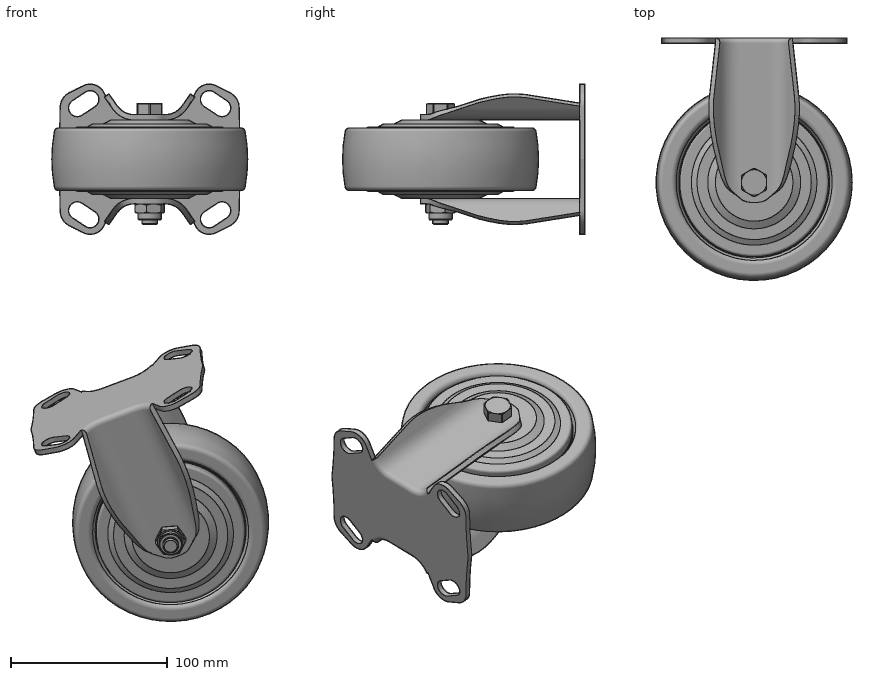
import cadquery as cq
import math


wheel_radius = 62.5
wheel_width = 40.0
tread_edge_radius = 60.9
tread_half_width = 17.4
shoulder_radius = 57.7
side_face_inner_radius = 52.8
recess_radius = 49.7
recess_floor_radius = 48.1
recess_floor = 14.0

guard_radius = 47.4
guard_edge_fillet = 1.6
guard_rim_height = 20.5
guard_step_height = 22.5
guard_top_height = 25.0
guard_lower_cone = (40.0, 36.4)
guard_upper_cone = (29.6, 24.7)

sheet = 3.5
plate_back = 92.0
plate_front = plate_back - sheet
plate_half_width = 59.0
slot_centre = (42.0, 35.4)
slot_spacing = 9.8
slot_diameter = 11.0
slot_tilt = -33.5
ear_inner_radius = 9.8
ear_outer_radius = 11.0
leg_flat_half_width = 10.0
leg_bend_radius = 13.0
flare_angle = math.radians(55)
leg_bend_length = leg_bend_radius * flare_angle
flare_length = 16.0
root_radius = 3.4
leg_inner_face = guard_top_height
leg_outer_face = leg_inner_face + sheet

bolt_diameter = 10.0
head_flats = 16.0
head_turn = 30
head_height = 6.9
head_corner_radius = 9.0
head_face_radius = 8.1
head_bevel_height = 0.3
bolt_end = -41.7
bolt_end_chamfer = 0.9
nut_flats = 17.0
nut_height = 5.9
nut_turn = 17.6
nut_corner_radius = nut_flats / 2 / math.cos(math.pi / 6)
nut_face_radius = 8.5
nut_bevel_height = (nut_corner_radius - nut_face_radius) * math.tan(math.radians(30))
collar_diameter = 15.0
collar_height = 4.2
collar_chamfer = 0.6

DIAGONAL = math.sqrt(0.5)


def cut_bore(body):
    bore = cq.Workplane("XY").circle(bolt_diameter / 2).extrude(2 * plate_back, both=True)
    return body.cut(bore)


def make_wheel():
    half_width = wheel_width / 2
    lip_radius = side_face_inner_radius - recess_radius
    lip_centre = (side_face_inner_radius, half_width - lip_radius)
    lip_middle = (lip_centre[0] - lip_radius * DIAGONAL, lip_centre[1] + lip_radius * DIAGONAL)
    shoulder_middle = (
        shoulder_radius + (tread_edge_radius - shoulder_radius) * DIAGONAL,
        tread_half_width + (half_width - tread_half_width) * DIAGONAL,
    )
    profile = (
        cq.Workplane("XZ")
        .moveTo(0, -recess_floor)
        .lineTo(recess_floor_radius, -recess_floor)
        .lineTo(recess_radius, -lip_centre[1])
        .threePointArc((lip_middle[0], -lip_middle[1]), (side_face_inner_radius, -half_width))
        .lineTo(shoulder_radius, -half_width)
        .threePointArc((shoulder_middle[0], -shoulder_middle[1]), (tread_edge_radius, -tread_half_width))
        .threePointArc((wheel_radius, 0), (tread_edge_radius, tread_half_width))
        .threePointArc(shoulder_middle, (shoulder_radius, half_width))
        .lineTo(side_face_inner_radius, half_width)
        .threePointArc(lip_middle, (recess_radius, lip_centre[1]))
        .lineTo(recess_floor_radius, recess_floor)
        .lineTo(0, recess_floor)
        .close()
    )
    return cut_bore(profile.revolve(360, (0, 0, 0), (0, 1, 0)))


def make_guard(side):
    """Stepped disc in a wheel recess: side is 1 for the upper one, -1 for the lower one."""
    guard = (
        cq.Workplane("XZ")
        .moveTo(0, recess_floor)
        .lineTo(guard_radius, recess_floor)
        .lineTo(guard_radius, guard_rim_height - guard_edge_fillet)
        .radiusArc((guard_radius - guard_edge_fillet, guard_rim_height), -guard_edge_fillet)
        .lineTo(guard_lower_cone[0], guard_rim_height)
        .lineTo(guard_lower_cone[1], guard_step_height)
        .lineTo(guard_upper_cone[0], guard_step_height)
        .lineTo(guard_upper_cone[1], guard_top_height)
        .lineTo(0, guard_top_height)
        .close()
        .revolve(360, (0, 0, 0), (0, 1, 0))
    )
    if side < 0:
        guard = guard.mirror("XY")
    return cut_bore(guard)


def on_leg(s, y, depth):
    """Point on the upper leg: s runs along the concave face from the middle, depth goes into the sheet."""
    angle = min(max(s - leg_flat_half_width, 0) / leg_bend_radius, flare_angle)
    flat_part = min(s, leg_flat_half_width)
    flare_part = max(s - leg_flat_half_width - leg_bend_length, 0)
    radius = leg_bend_radius + depth
    x = flat_part + radius * math.sin(angle) + flare_part * math.cos(flare_angle)
    z = leg_outer_face + leg_bend_radius - radius * math.cos(angle) + flare_part * math.sin(flare_angle)
    return cq.Vector(x, y, z)


def leg_section(reach):
    """Closed section of the upper leg whose flares end at distance reach from the middle."""
    bend_end = leg_flat_half_width + leg_bend_length
    bend_middle = (leg_flat_half_width + bend_end) / 2

    def at(s, depth, side):
        point = on_leg(s, 0, depth)
        return (side * point.x, point.z)

    return (
        cq.Workplane("XZ")
        .moveTo(*at(leg_flat_half_width, 0, -1))
        .lineTo(*at(leg_flat_half_width, 0, 1))
        .threePointArc(at(bend_middle, 0, 1), at(bend_end, 0, 1))
        .lineTo(*at(reach, 0, 1))
        .lineTo(*at(reach, sheet, 1))
        .lineTo(*at(bend_end, sheet, 1))
        .threePointArc(at(bend_middle, sheet, 1), at(leg_flat_half_width, sheet, 1))
        .lineTo(*at(leg_flat_half_width, sheet, -1))
        .threePointArc(at(bend_middle, sheet, -1), at(bend_end, sheet, -1))
        .lineTo(*at(reach, sheet, -1))
        .lineTo(*at(reach, 0, -1))
        .lineTo(*at(bend_end, 0, -1))
        .threePointArc(at(bend_middle, 0, -1), at(leg_flat_half_width, 0, -1))
        .close()
    )


leg_root = (24.0, plate_back)
leg_side_start = (31.3, 54.2)
leg_side_middle = (31.8, 46.6)
leg_side_end = (30.9, 37.8)
leg_nose = [(26.9, 22.9), (22.2, 11.3), (19.1, 2.5), (15.9, -3.6), (10.0, -9.2), (0.0, -12.8)]
trim_overrun = 0.5
trim_lead_out = 0.1


def trim_edges(depth):
    """Trim line from the root round to the middle of the nose, at a depth in the sheet."""
    def at(point):
        return on_leg(*point, depth)

    root = at(leg_root)
    start = at(leg_side_start)
    beyond_root = root + (root - start) * trim_lead_out
    nose = [at(leg_side_end)] + [at(point) for point in leg_nose]
    side_arc = cq.Edge.makeThreePointArc(start, at(leg_side_middle), nose[0])
    nose_curve = cq.Edge.makeSpline(nose, tangents=[side_arc.tangentAt(1), cq.Vector(-1, 0, 0)])
    return [cq.Edge.makeLine(beyond_root, start), side_arc, nose_curve]


def make_leg():
    """Upper leg, trimmed square to its sheet along the trim line."""
    blank_reach = leg_flat_half_width + leg_bend_length + flare_length
    blank = leg_section(blank_reach).extrude(plate_back, both=True)
    seed = cq.selectors.NearestToPointSelector(on_leg(0, plate_back, 0).toTuple())
    blank = blank.faces(">Y").edges(seed).fillet(root_radius)
    outer_edges = trim_edges(-trim_overrun)
    inner_edges = trim_edges(sheet + trim_overrun)
    faces = [cq.Face.makeRuledSurface(a, b) for a, b in zip(outer_edges, inner_edges)]
    faces += [face.mirror("YZ") for face in faces]
    pieces = blank.val().split(cq.Shell.makeShell(faces))
    inside = cq.Vector(0, plate_back / 2, leg_inner_face + sheet / 2)
    return cq.Workplane([piece for piece in pieces.Solids() if piece.isInside(inside)][0])


def tangent_points(start, start_radius, end, end_radius):
    """Ends of the line that touches two circles, with both on its right."""
    heading = math.atan2(end[1] - start[1], end[0] - start[0])
    spread = math.acos((start_radius - end_radius) / math.dist(start, end))
    normal = heading + spread
    return [
        (centre[0] + radius * math.cos(normal), centre[1] + radius * math.sin(normal))
        for centre, radius in ((start, start_radius), (end, end_radius))
    ]


def plate_quarter():
    """Quarter of the plate at +X, +Z, with its ear and its share of the edge along the leg."""
    half_spacing = slot_spacing / 2
    tilt = math.radians(slot_tilt)
    step = (half_spacing * math.cos(tilt), half_spacing * math.sin(tilt))
    inner = (slot_centre[0] - step[0], slot_centre[1] - step[1])
    outer = (slot_centre[0] + step[0], slot_centre[1] + step[1])
    bend_middle = on_leg(leg_flat_half_width + leg_bend_length / 2, 0, sheet)
    bend_end = on_leg(leg_flat_half_width + leg_bend_length, 0, sheet)
    root_point = on_leg(leg_root[0], 0, sheet)
    root = (root_point.x, root_point.z)
    root_line = tangent_points(root, 0, inner, ear_inner_radius)
    top_line = tangent_points(inner, ear_inner_radius, outer, ear_outer_radius)
    inner_crest = (inner[0], inner[1] + ear_inner_radius)
    outer_crest = (outer[0] + ear_outer_radius * DIAGONAL, outer[1] + ear_outer_radius * DIAGONAL)
    side_start = (outer[0] + ear_outer_radius, outer[1])
    return (
        cq.Workplane("XZ")
        .moveTo(0, 0)
        .lineTo(0, leg_inner_face)
        .lineTo(leg_flat_half_width, leg_inner_face)
        .threePointArc((bend_middle.x, bend_middle.z), (bend_end.x, bend_end.z))
        .lineTo(*root)
        .lineTo(*root_line[1])
        .threePointArc(inner_crest, top_line[0])
        .lineTo(*top_line[1])
        .threePointArc(outer_crest, side_start)
        .tangentArcPoint((plate_half_width, 0), relative=False)
        .close()
        .extrude(-sheet)
        .cut(
            cq.Workplane("XZ")
            .center(*slot_centre)
            .transformed(rotate=(0, 0, slot_tilt))
            .slot2D(slot_spacing + slot_diameter, slot_diameter)
            .extrude(-sheet)
        )
        .translate((0, plate_front, 0))
    )


def make_bracket():
    half = plate_quarter()
    half = half.union(half.mirror("YZ")).union(make_leg())
    return cut_bore(half.union(half.mirror("XY")))


def hexagon(flats, turn, height):
    """Hexagonal prism turned by a number of degrees from having a corner on +X."""
    corner_diameter = flats / math.cos(math.pi / 6)
    return cq.Workplane("XY").transformed(rotate=(0, 0, turn)).polygon(6, corner_diameter).extrude(height)


def bevelled_disc(radius, height, bevelled_faces, face_radius, bevel_height):
    """Disc whose chosen end faces are bevelled down to the face radius."""
    disc = cq.Workplane("XY").circle(radius).extrude(height)
    return disc.faces(bevelled_faces).chamfer(bevel_height, radius - face_radius)


def make_bolt():
    envelope = bevelled_disc(head_corner_radius, head_height, ">Z", head_face_radius, head_bevel_height)
    head = hexagon(head_flats, head_turn, head_height).intersect(envelope)
    shank = (
        cq.Workplane("XY", origin=(0, 0, bolt_end))
        .circle(bolt_diameter / 2)
        .extrude(leg_outer_face - bolt_end)
        .faces("<Z")
        .chamfer(bolt_end_chamfer)
    )
    return head.translate((0, 0, leg_outer_face)).union(shank)


def make_nut():
    """Locking nut, seated against the lower leg, with a round collar below its hexagon."""
    envelope = bevelled_disc(nut_corner_radius, -nut_height, "<Z or >Z", nut_face_radius, nut_bevel_height)
    body = hexagon(nut_flats, nut_turn, -nut_height).intersect(envelope)
    collar = (
        cq.Workplane("XY", origin=(0, 0, -nut_height))
        .circle(collar_diameter / 2)
        .extrude(-collar_height)
        .faces("<Z")
        .chamfer(collar_chamfer)
    )
    return cut_bore(body.union(collar).translate((0, 0, -leg_outer_face)))


wheel = make_wheel()
guards = [make_guard(side) for side in (1, -1)]
bracket = make_bracket()
bolt = make_bolt()
nut = make_nut()

result = cq.Compound.makeCompound(
    [bracket.val(), wheel.val(), *[guard.val() for guard in guards], bolt.val(), nut.val()]
)